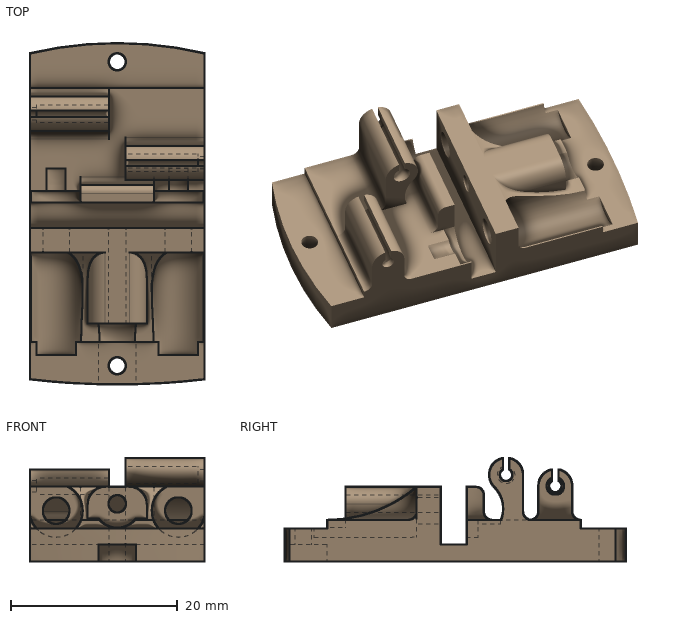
import cadquery as cq
import math

length = 41.0
width = 21.0
half_length = length / 2
half_width = width / 2
plate_top = 3.98
rear_bulge = 1.23
front_bulge = 0.6
mount_hole_diameter = 2.0
mount_hole_y = 18.25

deck_top = 5.0
deck_rear = 15.1
deck_front = -15.35
wall_top = 8.97
wall_front = -4.65
slot_front = -1.72
slot_rear = 1.35
slot_floor = 2.05
foot_radius = 1.0

tab_width = 8.85
tab_rear = 3.45
tab_round = 1.0

post_length = 9.5
post_radius = 2.05
post_hole_diameter = 1.48
post_bore_diameter = 2.1
post_lip = 0.8
post_slot = 0.75
low_post_y = 12.0
low_post_z = 9.05
high_post_y = 6.1
high_post_z = 10.4
waist_y = 5.75
waist_radius = 3.7

channel_x = 7.35
channel_z = 6.1
channel_radius = 3.2
channel_front = -16.92
channel_rear = 2.75
bore_diameter = 3.2
bore_rear = 5.4

boss_width = 7.1
boss_front = -13.2
boss_round = 2.1
boss_hole_diameter = 2.1
boss_axis_z = 6.93
boss_groove_radius = 2.85

notch_width = 4.5
notch_height = 2.05


def block(x0, x1, y0, y1, z0, z1):
    return cq.Workplane("XY").box(x1 - x0, y1 - y0, z1 - z0, centered=False).translate((x0, y0, z0))


def rod_y(x, z, radius, y0, y1):
    """Cylinder along Y between y0 and y1."""
    return cq.Workplane("XZ", origin=(x, y0, z)).circle(radius).extrude(y0 - y1)


def rod_x(y, z, radius, x0, x1):
    """Cylinder along X between x0 and x1."""
    return cq.Workplane("YZ", origin=(x0, y, z)).circle(radius).extrude(x1 - x0)


def foot_fillet(y, side, x0, x1):
    """Concave strip where a wall face at y meets the deck; side is the way the face looks."""
    strip = block(x0, x1, min(y, y + side * foot_radius), max(y, y + side * foot_radius),
                  deck_top, deck_top + foot_radius)
    return strip.cut(rod_x(y + side * foot_radius, deck_top + foot_radius, foot_radius, x0, x1))


def make_plate():
    rear_corner = half_length - rear_bulge
    front_corner = front_bulge - half_length
    return (
        cq.Workplane("XY")
        .moveTo(-half_width, front_corner)
        .threePointArc((0, -half_length), (half_width, front_corner))
        .lineTo(half_width, rear_corner)
        .threePointArc((0, half_length), (-half_width, rear_corner))
        .close()
        .extrude(plate_top)
    )


def make_web():
    """Wedge in front of the wall, hollowed by an arc tangent to the deck at its front edge."""
    run = wall_front - deck_front
    rise = wall_top - deck_top
    web_radius = (run**2 + rise**2) / (2 * rise)
    wedge = block(-channel_x, channel_x, deck_front, wall_front, deck_top, wall_top)
    return wedge.cut(rod_x(deck_front, deck_top + web_radius, web_radius, -channel_x, channel_x))


def cut_channels(body):
    for x in (-channel_x, channel_x):
        body = body.cut(rod_y(x, channel_z, channel_radius, channel_front, wall_front))
        body = body.cut(rod_y(x, channel_z, channel_radius, slot_rear, channel_rear))
        body = body.cut(rod_y(x, channel_z, bore_diameter / 2, wall_front, bore_rear))
    return body


def make_boss():
    boss = block(-boss_width / 2, boss_width / 2, boss_front, wall_front, deck_top, wall_top)
    return boss.edges("|Y and >Z").fillet(boss_round)


def make_tab():
    tab = block(-tab_width / 2, tab_width / 2, slot_rear, tab_rear, deck_top, wall_top)
    tab = tab.edges("|X and >Z and >Y").fillet(tab_round)
    return tab.union(foot_fillet(tab_rear, 1, -tab_width / 2, tab_width / 2))


def cut_post_bore(post, y, z, x0, x1, outer_side):
    """Wide bore from the inner end, a small hole through the outer lip and a slot to the top."""
    post = post.cut(rod_x(y, z, post_hole_diameter / 2, x0, x1))
    shift = -outer_side * post_lip
    post = post.cut(rod_x(y, z, post_bore_diameter / 2, x0 + shift, x1 + shift))
    return post.cut(block(x0, x1, y - post_slot / 2, y + post_slot / 2, z, z + 2 * post_radius))


def make_low_post():
    x0 = -half_width
    x1 = x0 + post_length
    rear = low_post_y + post_radius
    front = low_post_y - post_radius
    post = block(x0, x1, front, rear, deck_top, low_post_z)
    post = post.union(rod_x(low_post_y, low_post_z, post_radius, x0, x1))
    post = post.union(foot_fillet(rear, 1, x0, x1))
    post = post.union(foot_fillet(front, -1, x0, x1))
    return cut_post_bore(post, low_post_y, low_post_z, x0, x1, -1)


def make_high_post():
    x1 = half_width
    x0 = x1 - post_length
    rear = high_post_y + post_radius
    waist_center_y = waist_y - waist_radius
    across = high_post_y - waist_center_y
    drop = math.sqrt((post_radius + waist_radius) ** 2 - across**2)
    waist_center_z = high_post_z - drop
    share = post_radius / (post_radius + waist_radius)
    touch_y = high_post_y - across * share
    touch_z = high_post_z - drop * share
    stem = (
        cq.Workplane("YZ", origin=(x0, 0, 0))
        .moveTo(rear, deck_top)
        .lineTo(rear, high_post_z)
        .lineTo(high_post_y, high_post_z)
        .lineTo(touch_y, touch_z)
        .lineTo(waist_center_y, waist_center_z)
        .lineTo(waist_center_y, deck_top)
        .close()
        .extrude(post_length)
    )
    stem = stem.cut(rod_x(waist_center_y, waist_center_z, waist_radius, x0, x1))
    post = stem.union(rod_x(high_post_y, high_post_z, post_radius, x0, x1))
    post = post.union(foot_fillet(rear, 1, x0, x1))
    return cut_post_bore(post, high_post_y, high_post_z, x0, x1, 1)


body = make_plate()
body = body.union(block(-half_width, half_width, deck_front, deck_rear, 0, deck_top))
body = body.union(block(-half_width, half_width, wall_front, slot_front, 0, wall_top))
body = body.union(foot_fillet(wall_front, -1, -half_width, half_width))
body = body.union(make_web())
body = body.cut(block(-half_width, half_width, slot_front, slot_rear, slot_floor, wall_top))
body = cut_channels(body)

body = body.union(make_boss())
body = body.cut(rod_y(0, boss_axis_z, boss_groove_radius, deck_front, boss_front))
body = body.cut(rod_y(0, boss_axis_z, boss_hole_diameter / 2, boss_front, slot_front))

body = body.union(make_tab())
body = body.union(make_low_post())
body = body.union(make_high_post())

mount_holes = (
    cq.Workplane("XY")
    .pushPoints([(0, -mount_hole_y), (0, mount_hole_y)])
    .circle(mount_hole_diameter / 2)
    .extrude(plate_top)
)
body = body.cut(mount_holes)
body = body.cut(block(-notch_width / 2, notch_width / 2, -half_length, deck_front, 0, notch_height))

result = body